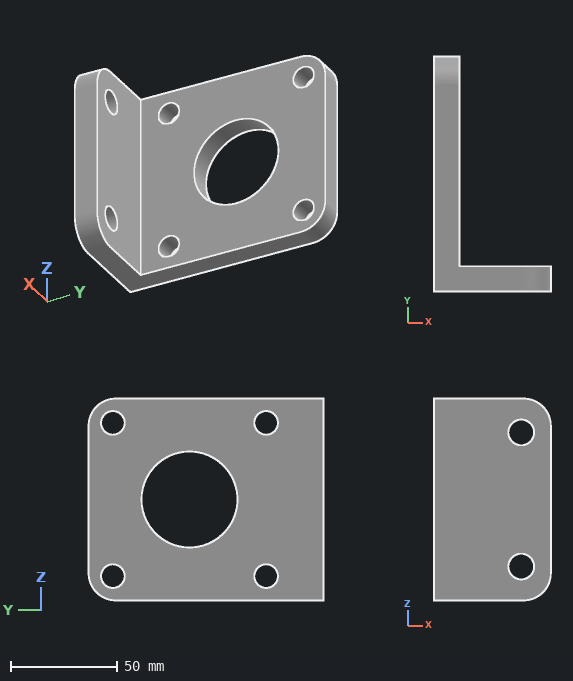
import cadquery as cq

foot_length = 55.0
plate_length = 110.5
height = 95.0
thickness = 12.0
corner_radius = 13.0

bore_diameter = 45.0
bore_y = 63.0
plate_hole_diameter = 11.0
plate_hole_spacing = 72.0

foot_hole_diameter = 12.0
foot_hole_x = 41.0
foot_hole_spacing = 63.0

mid_height = height / 2


def make_plate():
    """Motor plate in the YZ plane with rounded far corners."""
    plate = cq.Workplane("XY").box(thickness, plate_length, height, centered=False)
    return plate.edges("|X and >Y").fillet(corner_radius)


def make_foot():
    """Mounting foot in the XZ plane with rounded far corners."""
    foot = cq.Workplane("XY").box(foot_length, thickness, height, centered=False)
    return foot.edges("|Y and >X").fillet(corner_radius)


def plate_cutters():
    """Central bore and the four screw holes around it, all along X."""
    center = cq.Workplane("YZ").center(bore_y, mid_height)
    bore = center.circle(bore_diameter / 2).extrude(thickness)
    screws = (
        center.rect(plate_hole_spacing, plate_hole_spacing, forConstruction=True)
        .vertices()
        .circle(plate_hole_diameter / 2)
        .extrude(thickness)
    )
    return bore.union(screws)


def foot_cutters():
    """Two mounting holes along Y, symmetric about mid height."""
    offset = foot_hole_spacing / 2
    return (
        cq.Workplane("XZ")
        .pushPoints([(foot_hole_x, mid_height - offset), (foot_hole_x, mid_height + offset)])
        .circle(foot_hole_diameter / 2)
        .extrude(-thickness)
    )


bracket = make_plate().union(make_foot())
result = bracket.cut(plate_cutters()).cut(foot_cutters())